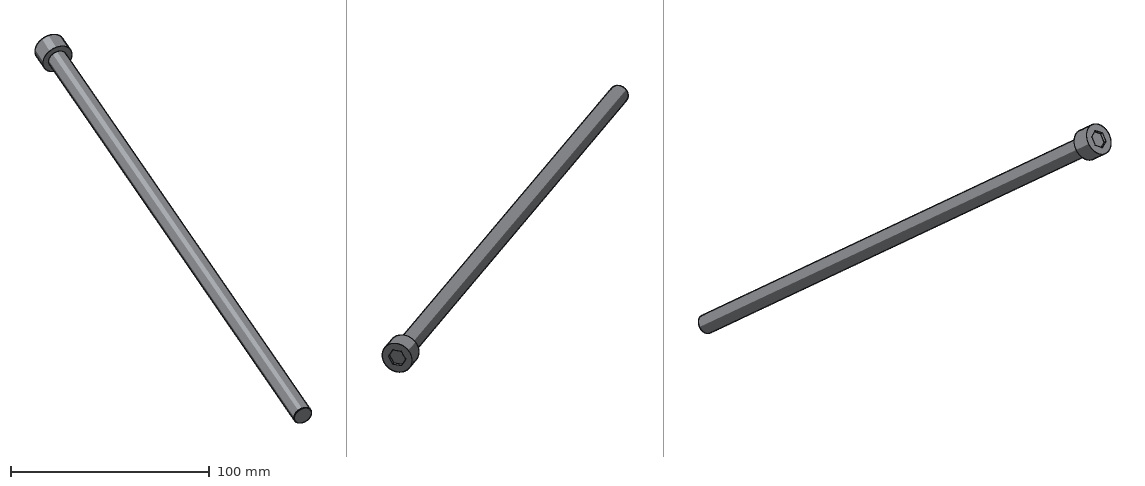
import cadquery as cq
import math

total_length = 310.0
head_diameter = 16.0
head_length = 10.0
shank_diameter = 10.0
tip_chamfer = 0.25
socket_across_flats = 8.0
socket_depth = 1.5

hexagon_sides = 6
socket_across_corners = socket_across_flats / math.cos(math.pi / hexagon_sides)
head_face_x = -total_length / 2
shank_length = total_length - head_length


def cylinder_along_x(start_x, length, diameter):
    return cq.Workplane("YZ", origin=(start_x, 0, 0)).circle(diameter / 2).extrude(length)


def make_shank():
    """Plain shank with a chamfered tip."""
    shank = cylinder_along_x(head_face_x + head_length, shank_length, shank_diameter)
    return shank.faces(">X").chamfer(tip_chamfer)


def make_socket():
    """Hexagonal drive socket with two corners on the Y axis."""
    return (
        cq.Workplane("YZ", origin=(head_face_x, 0, 0))
        .polygon(hexagon_sides, socket_across_corners)
        .extrude(socket_depth)
    )


head = cylinder_along_x(head_face_x, head_length, head_diameter)
result = head.union(make_shank()).cut(make_socket())